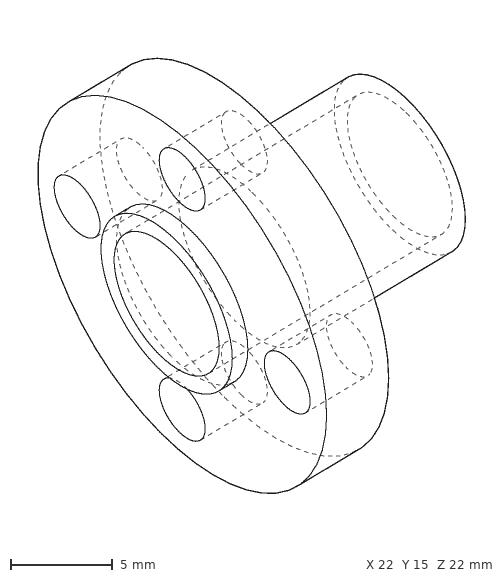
import cadquery as cq

flange_diameter = 22.0
flange_thickness = 4.0
barrel_diameter = 10.0
bore_diameter = 8.0
front_lip_length = 1.0
rear_barrel_length = 10.0
bolt_hole_diameter = 3.5
bolt_circle_diameter = 16.0
bolt_hole_count = 4

flange_front = 0.0
barrel_front = flange_front - front_lip_length
barrel_length = front_lip_length + flange_thickness + rear_barrel_length


def plane_at(y):
    """Plane at the given Y whose normal points along +Y."""
    return cq.Plane(origin=(0, y, 0), xDir=(1, 0, 0), normal=(0, 1, 0))


def cylinder(diameter, y_start, length):
    """Cylinder on the Y axis, extending toward +Y from y_start."""
    return cq.Workplane(plane_at(y_start)).circle(diameter / 2).extrude(length)


def bolt_holes():
    """Cutters for the evenly spaced through holes in the flange."""
    return (
        cq.Workplane(plane_at(flange_front))
        .polarArray(bolt_circle_diameter / 2, 0, 360, bolt_hole_count)
        .circle(bolt_hole_diameter / 2)
        .extrude(flange_thickness)
    )


flange = cylinder(flange_diameter, flange_front, flange_thickness)
barrel = cylinder(barrel_diameter, barrel_front, barrel_length)
bore = cylinder(bore_diameter, barrel_front, barrel_length)

result = flange.union(barrel).cut(bore).cut(bolt_holes())